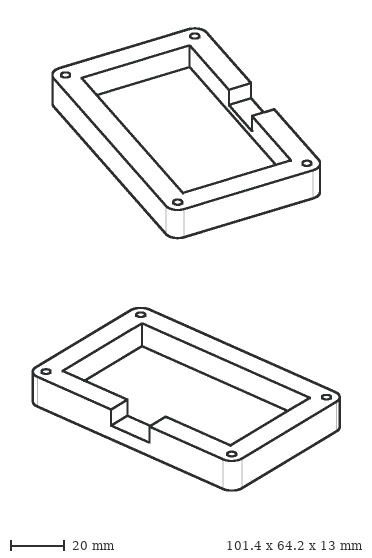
import cadquery as cq

length = 101.4
width = 64.22
height = 13.0
corner_radius = 5.0

wall = 9.4
floor_thickness = 3.0
pocket_depth = height - floor_thickness
pocket_length = length - 2 * wall
pocket_width = width - 2 * wall

notch_width = 18.8
notch_depth = 7.0

hole_diameter = 3.4
hole_spacing_x = length - 2 * corner_radius
hole_spacing_y = width - 2 * corner_radius


def make_block():
    """Plate with rounded vertical edges, standing on the XY plane."""
    block = cq.Workplane("XY").box(length, width, height, centered=(True, True, False))
    return block.edges("|Z").fillet(corner_radius)


def cut_pocket(body):
    """Rectangular recess that leaves a floor and a wall all round."""
    top = body.faces(">Z").workplane()
    return top.rect(pocket_length, pocket_width).cutBlind(-pocket_depth)


def cut_notch(body):
    """Central opening from the pocket out through the +Y wall."""
    notch = cq.Workplane("XY").box(notch_width, wall, notch_depth, centered=(True, False, False))
    return body.cut(notch.translate((0, width / 2 - wall, height - notch_depth)))


def drill_corner_holes(body):
    """One through hole in each corner."""
    corners = body.faces("<Z").workplane(centerOption="CenterOfBoundBox")
    return corners.rect(hole_spacing_x, hole_spacing_y, forConstruction=True).vertices().hole(hole_diameter)


result = drill_corner_holes(cut_notch(cut_pocket(make_block())))